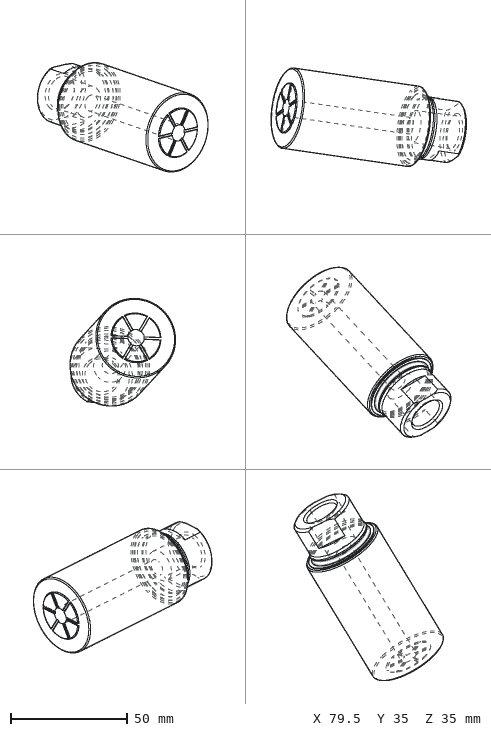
import cadquery as cq
import math

length = 79.45
neck_end = 14.4
ridge_start = 15.6
ridge_end = 16.3
groove_bottom_x = 17.25
lip_start = 18.35
collar_start = 18.5
body_start = 19.0
body_end = 79.0

neck_dia = 27.0
ridge_dia = 28.0
groove_dia = 26.2
lip_dia = 29.1
collar_dia = 32.0
body_dia = 34.95
boss_dia = 21.85

nose_bevel_length = 1.0
nose_bevel_depth = 1.1
body_bevel = 0.55
boss_bevel = 0.4

flat_width = 23.8
flat_length = 10.2

mouth_dia = 16.5
thread_dia = 14.5
thread_depth = 10.2
pilot_dia = 13.9
pilot_depth = 19.1
through_dia = 7.15
cone_angle = 120.0

notch_width = 1.0
notch_slots = 3


def quarter_arc_middle(start, end, center):
    """Point halfway along the elliptical quarter arc from start to end."""
    half = math.sqrt(0.5)
    return tuple(c + half * (s - c) + half * (e - c) for s, e, c in zip(start, end, center))


def outer_body():
    neck_r = neck_dia / 2
    ridge_r = ridge_dia / 2
    groove_r = groove_dia / 2
    lip_r = lip_dia / 2
    collar_r = collar_dia / 2
    body_r = body_dia / 2
    boss_r = boss_dia / 2
    groove_left = (ridge_end, ridge_r)
    groove_bottom = (groove_bottom_x, groove_r)
    groove_right = (lip_start, ridge_r)
    left_middle = quarter_arc_middle(groove_left, groove_bottom, (groove_bottom_x, ridge_r))
    right_middle = quarter_arc_middle(groove_bottom, groove_right, (groove_bottom_x, ridge_r))
    profile = (
        cq.Workplane("XY")
        .moveTo(0, 0)
        .lineTo(0, neck_r - nose_bevel_depth)
        .lineTo(nose_bevel_length, neck_r)
        .lineTo(neck_end, neck_r)
        .lineTo(ridge_start, ridge_r)
        .lineTo(*groove_left)
        .threePointArc(left_middle, groove_bottom)
        .threePointArc(right_middle, groove_right)
        .lineTo(lip_start, lip_r)
        .lineTo(collar_start, lip_r)
        .lineTo(collar_start, collar_r)
        .lineTo(body_start, collar_r)
        .lineTo(body_start, body_r - body_bevel)
        .lineTo(body_start + body_bevel, body_r)
        .lineTo(body_end - body_bevel, body_r)
        .lineTo(body_end, body_r - body_bevel)
        .lineTo(body_end, boss_r)
        .lineTo(length - boss_bevel, boss_r)
        .lineTo(length, boss_r - boss_bevel)
        .lineTo(length, 0)
        .close()
    )
    return profile.revolve(360, (0, 0, 0), (1, 0, 0))


def bore():
    mouth_r = mouth_dia / 2
    thread_r = thread_dia / 2
    pilot_r = pilot_dia / 2
    through_r = through_dia / 2
    mouth_depth = mouth_r - thread_r
    cone_length = (pilot_r - through_r) / math.tan(math.radians(cone_angle / 2))
    profile = (
        cq.Workplane("XY")
        .moveTo(0, 0)
        .lineTo(0, mouth_r)
        .lineTo(mouth_depth, thread_r)
        .lineTo(thread_depth, pilot_r)
        .lineTo(pilot_depth, pilot_r)
        .lineTo(pilot_depth + cone_length, through_r)
        .lineTo(length, through_r)
        .lineTo(length, 0)
        .close()
    )
    return profile.revolve(360, (0, 0, 0), (1, 0, 0))


def wrench_flats():
    slab = cq.Workplane("XY").box(flat_length, body_dia, body_dia, centered=(False, True, True))
    between_flats = cq.Workplane("XY").box(flat_length, body_dia, flat_width, centered=(False, True, True))
    return slab.cut(between_flats)


def boss_notch(angle):
    """Slot across the full boss, turned about the X axis."""
    slot = cq.Workplane("XY").box(length - body_end, boss_dia, notch_width, centered=(False, True, True))
    return slot.translate((body_end, 0, 0)).rotate((0, 0, 0), (1, 0, 0), angle)


result = outer_body().cut(bore()).cut(wrench_flats())
for index in range(notch_slots):
    result = result.cut(boss_notch(index * 180 / notch_slots))